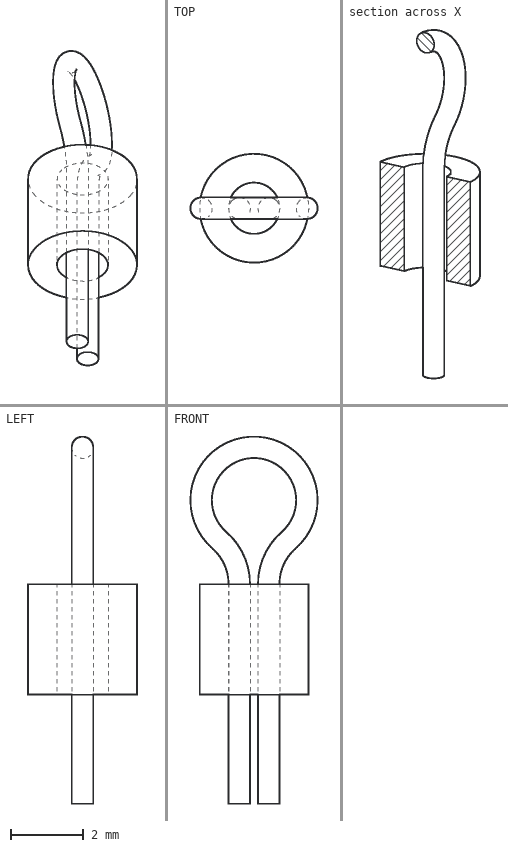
import cadquery as cq
import math

total_height = 10.1
wire_diameter = 0.6
loop_width = 3.5
bead_diameter = 3.0
bead_bore = 1.4
bead_height = 3.04
bead_bottom = 3.0

wire_radius = wire_diameter / 2
bead_top = bead_bottom + bead_height
loop_radius = loop_width / 2 - wire_radius
loop_height = total_height - loop_width / 2
leg_offset = bead_bore / 2 - wire_radius

neck_inset = loop_radius - leg_offset
neck_height = loop_height - bead_top
neck_arc_sum = (neck_inset**2 + neck_height**2) / (2 * neck_inset)
neck_angle = math.asin(neck_height / neck_arc_sum)
lower_arc_radius = neck_arc_sum - loop_radius


def arc_point(center_x, center_z, radius, angle):
    """Point on an arc in the XZ plane, with the angle measured from +X."""
    return (center_x + radius * math.cos(angle), center_z + radius * math.sin(angle))


def make_bead():
    """Plain ring with a through bore."""
    return (
        cq.Workplane("XY", origin=(0, 0, bead_bottom))
        .circle(bead_diameter / 2)
        .circle(bead_bore / 2)
        .extrude(bead_height)
    )


def make_wire():
    """Round wire: up one leg, around the loop and down the other leg."""
    lower_center_x = leg_offset + lower_arc_radius
    lower_middle = arc_point(lower_center_x, bead_top, lower_arc_radius, math.pi - neck_angle / 2)
    neck_middle = arc_point(0, loop_height, loop_radius, -neck_angle)
    path = (
        cq.Workplane("XZ")
        .moveTo(-leg_offset, 0)
        .lineTo(-leg_offset, bead_top)
        .threePointArc((-lower_middle[0], lower_middle[1]), (-neck_middle[0], neck_middle[1]))
        .threePointArc((0, loop_height + loop_radius), neck_middle)
        .threePointArc(lower_middle, (leg_offset, bead_top))
        .lineTo(leg_offset, 0)
    )
    return cq.Workplane("XY", origin=(-leg_offset, 0, 0)).circle(wire_radius).sweep(path)


bead = make_bead()
wire = make_wire()

result = cq.Compound.makeCompound([bead.val(), wire.val()])